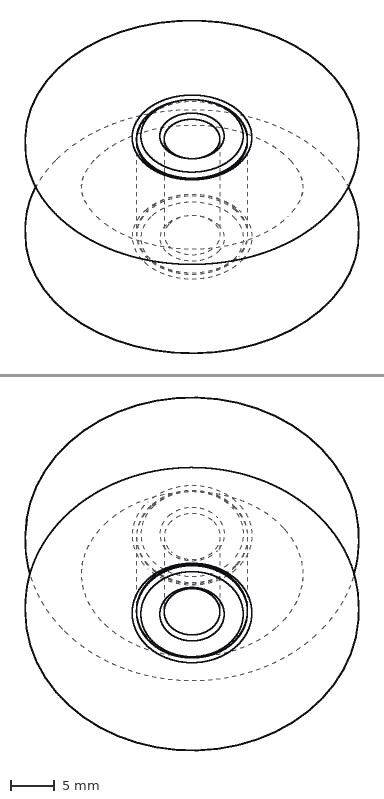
import cadquery as cq

sheave_diameter = 38.1
sheave_width = 16.0
groove_radius = 6.4
rim_fillet = 0.3

bushing_diameter = 12.7
bushing_length = 16.5
bore_diameter = 6.35
bore_chamfer = 0.5


def make_sleeve(outer_diameter, inner_diameter, length):
    """Hollow cylinder on the Z axis, centred on the origin."""
    return (
        cq.Workplane("XY")
        .circle(outer_diameter / 2)
        .circle(inner_diameter / 2)
        .extrude(length / 2, both=True)
    )


def make_groove_cutter():
    """Ring of round section, centred on the rim."""
    rim_radius = sheave_diameter / 2
    return (
        cq.Workplane("XZ")
        .center(rim_radius, 0)
        .circle(groove_radius)
        .revolve(360, (-rim_radius, 0), (-rim_radius, 1))
    )


def make_sheave():
    """Wheel with a half-round rope groove, a chamfered bore and rounded rims."""
    wheel = make_sleeve(sheave_diameter, bushing_diameter, sheave_width)
    bore_edges = cq.selectors.RadiusNthSelector(0)
    rim_edges = cq.selectors.RadiusNthSelector(-1)
    wheel = wheel.faces("|Z").edges(bore_edges).chamfer(bore_chamfer)
    wheel = wheel.faces("|Z").edges(rim_edges).fillet(rim_fillet)
    wheel = wheel.cut(make_groove_cutter())
    groove_rim_edges = cq.selectors.BoxSelector(
        (-0.4, -0.4, -groove_radius - rim_fillet / 2),
        (0.4, 0.4, groove_radius + rim_fillet / 2),
    )
    return wheel.edges("%CIRCLE").edges(groove_rim_edges).edges(rim_edges).fillet(rim_fillet)


def make_bushing():
    """Sleeve filling the sheave bore, chamfered on all its end edges."""
    sleeve = make_sleeve(bushing_diameter, bore_diameter, bushing_length)
    return sleeve.faces("|Z").edges().chamfer(bore_chamfer)


sheave = make_sheave()
bushing = make_bushing()

result = cq.Compound.makeCompound([sheave.val(), bushing.val()])